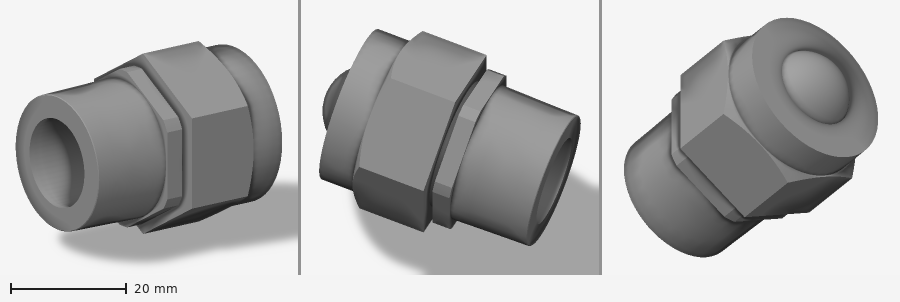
import cadquery as cq
import math

total_length = 42.7

stub_end_diameter = 23.85
stub_length = 14.25
stub_chamfer = 0.13
stub_root_diameter = 24.7
flange_thickness = 3.2
flange_across_flats = 25.5
flange_corner_diameter = 28.2
flange_end = stub_length + flange_thickness
neck_diameter = 23.1
bore_diameter = 15.9

nut_start = 18.53
hexagon_length = 13.28
nut_across_flats = 28.3
chamfer_angle = 30.0
collar_diameter = 27.75
collar_length = 6.35
hexagon_end = nut_start + hexagon_length
nut_end = hexagon_end + collar_length

dome_diameter = 16.4
dome_center = total_length - dome_diameter / 2


def cylinder(diameter, start, end):
    """Cylinder on the Y axis between two Y positions."""
    plane = cq.Workplane("XZ", origin=(0, start, 0))
    return plane.circle(diameter / 2).extrude(start - end)


def hexagon(across_flats, start, end):
    """Hexagonal prism on the Y axis with two flats facing +X and -X."""
    corner_diameter = across_flats / math.cos(math.radians(30))
    plane = cq.Workplane("XZ", origin=(0, start, 0))
    prism = plane.polygon(6, corner_diameter).extrude(start - end)
    return prism.rotate((0, 0, 0), (0, 1, 0), 30)


def revolve_about_y(points):
    """Solid of revolution about Y from (radius, Y) points."""
    return cq.Workplane("XY").polyline(points).close().revolve(360, (0, 0, 0), (0, 1, 0))


def sphere_at_dome(diameter):
    return cq.Workplane("XY", origin=(0, dome_center, 0)).sphere(diameter / 2)


def make_dome():
    shell = sphere_at_dome(dome_diameter).cut(sphere_at_dome(bore_diameter))
    outer_half = cylinder(dome_diameter, dome_center, total_length)
    return shell.intersect(outer_half)


def make_adapter():
    stub = revolve_about_y([
        (0, 0),
        (stub_end_diameter / 2, 0),
        (stub_end_diameter / 2 + stub_chamfer, stub_chamfer),
        (stub_root_diameter / 2, stub_length),
        (0, stub_length),
    ])
    rounded_corners = cylinder(flange_corner_diameter, stub_length, flange_end)
    flange = hexagon(flange_across_flats, stub_length, flange_end).intersect(rounded_corners)
    neck = cylinder(neck_diameter, flange_end, dome_center)
    bore = cylinder(bore_diameter, 0, dome_center)
    return stub.union(flange).union(neck).cut(bore)


def make_nut():
    corner_radius = nut_across_flats / 2 / math.cos(math.radians(30))
    chamfer_depth = (corner_radius - nut_across_flats / 2) * math.tan(math.radians(chamfer_angle))
    chamfer_limit = revolve_about_y([
        (0, nut_start),
        (corner_radius, nut_start),
        (corner_radius, hexagon_end - chamfer_depth),
        (nut_across_flats / 2, hexagon_end),
        (0, hexagon_end),
    ])
    body = hexagon(nut_across_flats, nut_start, hexagon_end).intersect(chamfer_limit)
    collar = cylinder(collar_diameter, hexagon_end, nut_end)
    neck_socket = cylinder(neck_diameter, nut_start, dome_center)
    dome_seat = sphere_at_dome(dome_diameter)
    return body.union(collar).cut(neck_socket).cut(dome_seat)


adapter = make_adapter()
nut = make_nut()
dome = make_dome()

result = cq.Compound.makeCompound([adapter.val(), nut.val(), dome.val()])